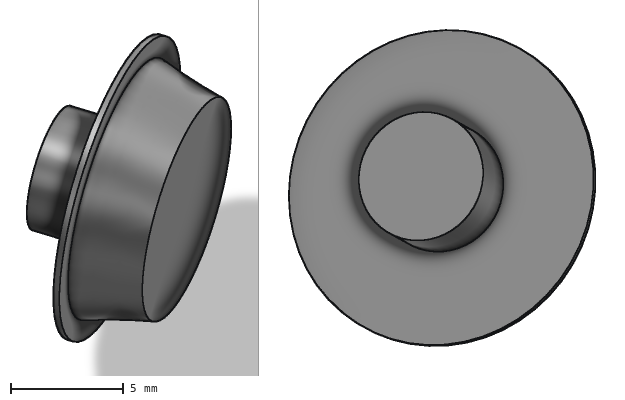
import cadquery as cq

shaft_diameter = 5.8
shaft_length = 3.0
flange_diameter = 14.2
flange_thickness = 0.3
total_length = 6.5
head_base_diameter = 12.18
head_end_diameter = 10.42
flank_sag = 0.05

shaft_end = -shaft_length
head_end = total_length - shaft_length

shaft_radius = shaft_diameter / 2
flange_radius = flange_diameter / 2
head_base_radius = head_base_diameter / 2
head_end_radius = head_end_diameter / 2

flank_middle_x = (flange_thickness + head_end) / 2
flank_middle_radius = (head_base_radius + head_end_radius) / 2 - flank_sag

half_section = (
    cq.Workplane("XY")
    .moveTo(shaft_end, 0)
    .lineTo(shaft_end, shaft_radius)
    .lineTo(0, shaft_radius)
    .lineTo(0, flange_radius)
    .lineTo(flange_thickness, flange_radius)
    .lineTo(flange_thickness, head_base_radius)
    .threePointArc((flank_middle_x, flank_middle_radius), (head_end, head_end_radius))
    .lineTo(head_end, 0)
    .close()
)

result = half_section.revolve(360, (0, 0, 0), (1, 0, 0))